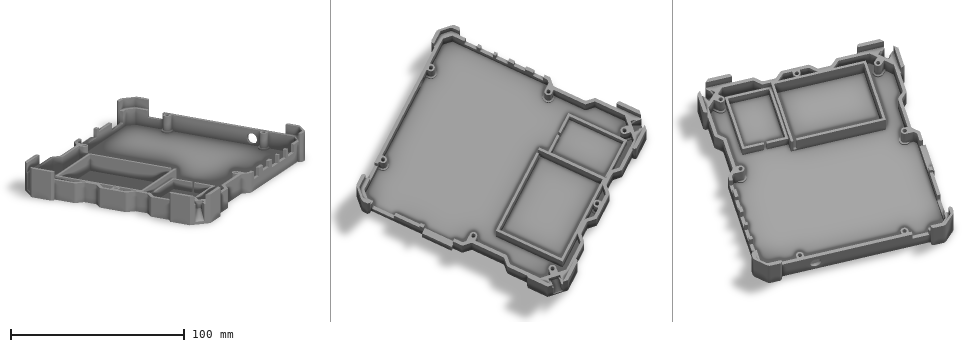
import cadquery as cq
import math

LENGTH_X = 120.0
LENGTH_Y = 135.0
HEIGHT = 17.5
WALL_HEIGHT = 12.0
WALL = 2.0
FLOOR = 2.0

WALL_X = 57.4
WALL_Y = 65.0
REAR_CORNER_LEG = 5.3
FRONT_CORNER_LEG = 12.4
INDENT = 4.0
WAIST_REAR_Y = -2.8
WAIST_FRONT_Y = -31.6
CENTRE_LOBE_X = 8.5
SIDE_LOBE_X = 24.6
INDENT_FILLET = 1.5

BUMPER_REAR_LEG = 7.3
BUMPER_FRONT_LEG = 8.8
BUMPER_FILLET = 3.4
LID_SPACE_FILLET = 1.8
BUMPER_WALL = 2.2
BUMPER_END_CHAMFER = 1.01
REAR_BUMPER_X = 44.5
REAR_BUMPER_Y = 55.6
FRONT_BUMPER_X = 37.5
FRONT_BUMPER_Y = 45.1

STRAP_FLOOR_Z = 1.6
STRAP_OPENING_X = 53.2
STRAP_OPENING_Y = 61.2
STRAP_SLOT_WIDTH = 5.0
STRAP_MOUTH_WIDTH = 7.0
STRAP_DEPTH = 6.3
STRAP_RAMP_START = 0.5
STRAP_FLANK_START = 3.2

SCREW_HOLE_D = 2.4
POST_D = 4.5
POST_BASE_D = 6.6
POST_BASE_HEIGHT = 1.01
POST_REACH = 5.4
POSTS = [
    (-30.1, 61.3, 90, True),
    (32.4, 61.3, 90, True),
    (-49.0, -5.8, 180, False),
    (49.0, -5.8, 0, False),
    (-47.0, -55.5, 225, True),
    (47.0, -55.5, 315, True),
    (0.0, -61.0, 270, True),
]

BOX_WALL = 1.5
BOX_FRONT_Y = WALL_Y - INDENT - WALL
LARGE_BOX_LEFT = -40.6
LARGE_BOX_RIGHT = 16.0
LARGE_BOX_REAR = -16.0
SMALL_BOX_RIGHT = 43.6
SMALL_BOX_REAR = -21.2
SMALL_BOX_HEIGHT = 8.0
LARGE_BOX_SLIT = (12.7, LARGE_BOX_RIGHT - BOX_WALL)
LARGE_BOX_SLIT_Z = 3.2
SMALL_BOX_SLIT = (29.0, 30.6)

RIGHT_PORTS = [
    (43.2, 51.2, 7.0),
    (32.8, 41.0, 7.0),
    (23.4, 30.9, 7.0),
    (12.4, 19.6, 8.5),
    (0.7, 7.2, 7.0),
]
LEFT_STEP_PORT = (24.7, 40.9, 9.6)
LEFT_DEEP_PORT = (40.9, 55.2, 4.5)
DEEP_PORT_FILLET = 1.01
PAD = (3.2, 22.1, 6.6)
PAD_X = 59.0
REAR_NOTCH = (-43.7, -33.9, 7.7)
CABLE_HOLE_D = 6.6
CABLE_HOLE_X = 23.9
CABLE_HOLE_Z = 6.1


def block(x0, x1, y0, y1, z0, z1):
    return cq.Workplane("XY").box(x1 - x0, y1 - y0, z1 - z0, centered=False).translate((x0, y0, z0))


def mirrored_outline(right_side):
    left_side = [(-x, y) for x, y in reversed(right_side)]
    return cq.Workplane("XY").polyline(right_side + left_side).close()


def wall_outline_prism(inset):
    """Prism over the main wall outline, moved inwards by inset."""
    right_side = [
        (CENTRE_LOBE_X, -WALL_Y),
        (CENTRE_LOBE_X + INDENT, -WALL_Y + INDENT),
        (SIDE_LOBE_X - INDENT, -WALL_Y + INDENT),
        (SIDE_LOBE_X, -WALL_Y),
        (WALL_X - FRONT_CORNER_LEG, -WALL_Y),
        (WALL_X, -WALL_Y + FRONT_CORNER_LEG),
        (WALL_X, WAIST_FRONT_Y),
        (WALL_X - INDENT, WAIST_FRONT_Y + INDENT),
        (WALL_X - INDENT, WAIST_REAR_Y - INDENT),
        (WALL_X, WAIST_REAR_Y),
        (WALL_X, WALL_Y - REAR_CORNER_LEG),
        (WALL_X - REAR_CORNER_LEG, WALL_Y),
    ]
    outline = mirrored_outline(right_side)
    if inset:
        outline = outline.offset2D(-inset, "intersection")
    prism = outline.extrude(WALL_HEIGHT)

    margin = 1.4
    waist_edges = cq.selectors.BoxSelector(
        (-LENGTH_X, WAIST_FRONT_Y - margin, 0),
        (LENGTH_X, WAIST_REAR_Y + margin, WALL_HEIGHT),
    )
    front_edges = cq.selectors.BoxSelector(
        (-SIDE_LOBE_X - margin, -LENGTH_Y, 0),
        (SIDE_LOBE_X + margin, -WALL_Y + INDENT + WALL + margin, WALL_HEIGHT),
    )
    return prism.edges("|Z").edges(waist_edges + front_edges).fillet(INDENT_FILLET)


def both_sides(right_part):
    return right_part.union(right_part.mirror("YZ"))


def round_rear_corner(solid, x, y, leg, radius):
    """Fillets both upright edges of the chamfer at the +X, +Y corner (x, y)."""
    chamfer_ends = cq.selectors.BoxSelector((x - leg - 0.1, y - leg - 0.1, 0), (x + 0.1, y + 0.1, HEIGHT))
    return solid.edges("|Z").edges(chamfer_ends).fillet(radius)


def bumper(end_x, end_y, corner_leg):
    """Bumper filling the corner of the +X, +Y quarter."""
    x = LENGTH_X / 2
    y = LENGTH_Y / 2
    chamfer = BUMPER_END_CHAMFER
    points = [
        (end_x, end_y),
        (x - chamfer, end_y),
        (x, end_y + chamfer),
        (x, y - corner_leg),
        (x - corner_leg, y),
        (end_x + chamfer, y),
        (end_x, y - chamfer),
    ]
    return cq.Workplane("XY").polyline(points).close().extrude(HEIGHT)


def bumpers():
    rear = bumper(REAR_BUMPER_X, REAR_BUMPER_Y, BUMPER_REAR_LEG)
    rear = round_rear_corner(rear, LENGTH_X / 2, LENGTH_Y / 2, BUMPER_REAR_LEG, BUMPER_FILLET)
    front = bumper(FRONT_BUMPER_X, FRONT_BUMPER_Y, BUMPER_FRONT_LEG).mirror("XZ")
    return both_sides(rear.union(front))


def lid_space():
    """Space above the wall, inside the bumpers."""
    x = LENGTH_X / 2 - BUMPER_WALL
    y = LENGTH_Y / 2 - BUMPER_WALL
    leg = BUMPER_REAR_LEG - 2 * BUMPER_WALL * (1 - math.tan(math.pi / 8))
    outline = [(0, -y), (x, -y), (x, y - leg), (x - leg, y), (0, y)]
    right_half = cq.Workplane("XY").polyline(outline).close().extrude(HEIGHT)
    right_half = round_rear_corner(right_half, x, y, leg, LID_SPACE_FILLET)
    return both_sides(right_half).translate((0, 0, WALL_HEIGHT))


def corner_slot(profile, width):
    """Cuts a profile of (depth behind the front chamfer, z) points across the +X, -Y corner."""
    slot = cq.Workplane("XZ").polyline(profile).close().extrude(width / 2, both=True)
    slot = slot.rotate((0, 0, 0), (0, 0, 1), 135)
    chamfer_middle_x = (LENGTH_X - BUMPER_FRONT_LEG) / 2
    chamfer_middle_y = -(LENGTH_Y - BUMPER_FRONT_LEG) / 2
    return slot.translate((chamfer_middle_x, chamfer_middle_y, 0))


def strap_pocket():
    """Slot with a ramp rising inwards, a wider mouth and sloping flanks at its inner end."""
    ramp_profile = [
        (0, STRAP_FLOOR_Z),
        (STRAP_RAMP_START, STRAP_FLOOR_Z),
        (STRAP_DEPTH, STRAP_FLOOR_Z + STRAP_DEPTH - STRAP_RAMP_START),
        (STRAP_DEPTH, HEIGHT),
        (0, HEIGHT),
    ]
    slot = corner_slot(ramp_profile, STRAP_SLOT_WIDTH)

    opening = block(STRAP_OPENING_X, LENGTH_X / 2, -LENGTH_Y / 2, -STRAP_OPENING_Y, 0, HEIGHT)
    mouth = corner_slot(ramp_profile, STRAP_MOUTH_WIDTH).intersect(opening)

    flank_profile = [
        (STRAP_FLANK_START, WALL_HEIGHT),
        (STRAP_DEPTH, WALL_HEIGHT),
        (STRAP_DEPTH, WALL_HEIGHT - (STRAP_DEPTH - STRAP_FLANK_START)),
    ]
    inside_wall = block(0, WALL_X - WALL, -WALL_Y + WALL, 0, 0, HEIGHT)
    flanks = corner_slot(flank_profile, STRAP_MOUTH_WIDTH).intersect(inside_wall)
    return slot.union(mouth).union(flanks)


def rib_ended_cylinder(diameter, height, joins_wall):
    solid = cq.Workplane("XY").circle(diameter / 2).extrude(height)
    if joins_wall:
        solid = solid.union(block(0, POST_REACH, -diameter / 2, diameter / 2, 0, height))
    return solid


def post(x, y, direction, base_joins_wall):
    """Screw post on a flanged base, turned so that it meets the wall."""
    solid = rib_ended_cylinder(POST_D, WALL_HEIGHT, True)
    solid = solid.union(rib_ended_cylinder(POST_BASE_D, FLOOR + POST_BASE_HEIGHT, base_joins_wall))
    return solid.rotate((0, 0, 0), (0, 0, 1), direction).translate((x, y, 0))


def compartment(x0, x1, y1, height):
    y0 = -BOX_FRONT_Y
    outside = block(x0, x1, y0, y1, 0, height)
    inside = block(x0 + BOX_WALL, x1 - BOX_WALL, y0 + BOX_WALL, y1 - BOX_WALL, FLOOR, height)
    return outside.cut(inside)


def compartments():
    large = compartment(LARGE_BOX_LEFT, LARGE_BOX_RIGHT, LARGE_BOX_REAR, WALL_HEIGHT)
    slit_x0, slit_x1 = LARGE_BOX_SLIT
    large = large.cut(block(
        slit_x0, slit_x1, LARGE_BOX_REAR - BOX_WALL, LARGE_BOX_REAR, LARGE_BOX_SLIT_Z, WALL_HEIGHT
    ))
    small = compartment(LARGE_BOX_RIGHT, SMALL_BOX_RIGHT, SMALL_BOX_REAR, SMALL_BOX_HEIGHT)
    small = small.cut(block(
        *SMALL_BOX_SLIT, SMALL_BOX_REAR - BOX_WALL, SMALL_BOX_REAR, FLOOR, WALL_HEIGHT
    ))
    return large.union(small)


def side_pad():
    """Pad on the outside of the -X wall, as high as the wall behind it."""
    y0, y1, top = PAD
    return block(-PAD_X, -WALL_X, y0, y1, 0, top)


def side_port(side, y0, y1, sill):
    """Opening in the top of a side wall; side is 1 for +X and -1 for -X."""
    inner = side * (WALL_X - WALL)
    outer = side * (WALL_X + WALL)
    return block(min(inner, outer), max(inner, outer), y0, y1, sill, HEIGHT)


def port_openings():
    openings = side_port(-1, *LEFT_STEP_PORT)
    deep = side_port(-1, *LEFT_DEEP_PORT)
    openings = openings.union(deep.edges("|X and <Z").fillet(DEEP_PORT_FILLET))
    openings = openings.union(side_port(-1, *PAD))
    for y0, y1, sill in RIGHT_PORTS:
        openings = openings.union(side_port(1, y0, y1, sill))
    notch_x0, notch_x1, notch_z = REAR_NOTCH
    openings = openings.union(
        block(notch_x0, notch_x1, WALL_Y - WALL, WALL_Y, notch_z, WALL_HEIGHT)
    )
    cable_hole = cq.Workplane("XZ").center(CABLE_HOLE_X, CABLE_HOLE_Z).circle(CABLE_HOLE_D / 2)
    cable_hole = cable_hole.extrude(WALL).translate((0, WALL_Y, 0))
    return openings.union(cable_hole)


body = wall_outline_prism(0)
cavity = wall_outline_prism(WALL).translate((0, 0, FLOOR))
result = body.union(bumpers()).cut(cavity).cut(lid_space())

fittings = compartments()
for post_placement in POSTS:
    fittings = fittings.union(post(*post_placement))
result = result.union(fittings.intersect(body))

result = result.union(side_pad())
result = result.cut(port_openings())
result = result.cut(both_sides(strap_pocket()))

post_centres = [(x, y) for x, y, _, _ in POSTS]
screw_holes = cq.Workplane("XY").pushPoints(post_centres).circle(SCREW_HOLE_D / 2).extrude(HEIGHT)
result = result.cut(screw_holes)